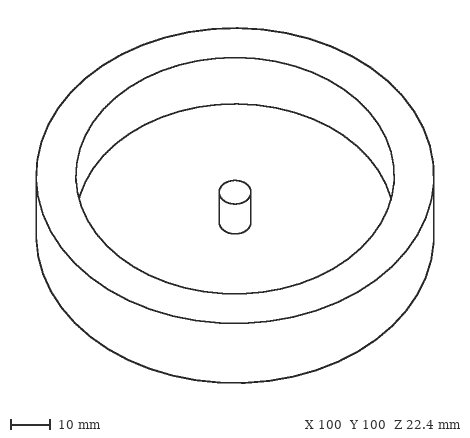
import cadquery as cq

outer_diameter = 100.0
height = 22.4
wall_thickness = 10.0
pocket_depth = 17.4
pin_diameter = 8.0
pin_height = 11.2

floor_thickness = height - pocket_depth
pocket_diameter = outer_diameter - 2 * wall_thickness

body = cq.Workplane("XY").circle(outer_diameter / 2).extrude(height)
pocket = (
    cq.Workplane("XY")
    .workplane(offset=floor_thickness)
    .circle(pocket_diameter / 2)
    .extrude(pocket_depth)
)

pin = cq.Workplane("XY").circle(pin_diameter / 2).extrude(floor_thickness + pin_height)

result = body.cut(pocket).union(pin)